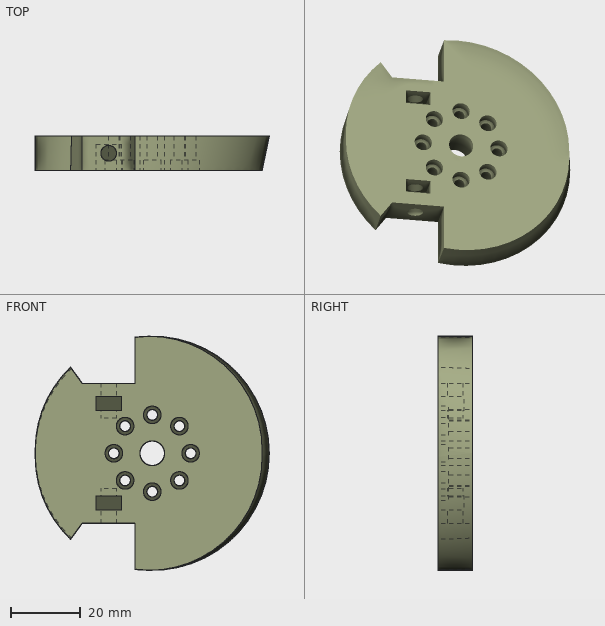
import cadquery as cq

disc_radius = 33.5
thickness = 10.0
side_taper = 2.1
front_y = -thickness / 2
back_y = thickness / 2

notch_wall_x = -4.95
notch_floor_z = 20.0
notch_flare_start_x = -20.0
flare_run = 3.35
flare_rise = 4.6
notch_reach = 3.0

center_hole_diameter = 7.0
screw_count = 8
screw_circle_radius = 11.0
screw_diameter = 3.0
screw_head_diameter = 5.0
screw_head_depth = 3.0

pocket_center_x = -12.45
pocket_center_z = 14.2
pocket_width = 7.25
pocket_height = 4.0
pocket_depth = 7.5
rod_diameter = 4.5
rod_end_z = 10.05

front_radius = disc_radius - side_taper / 2
front_shift = side_taper / 2


def front_plane(y):
    """Plane facing -Y at the given depth: local x is X, local y is Z."""
    return cq.Workplane("XZ", origin=(0, y, 0))


def half_disc(y, center_x, base_z, radius):
    """Wire of a half disc whose straight side lies at base_z."""
    return (
        front_plane(y)
        .moveTo(center_x - radius, base_z)
        .threePointArc((center_x, base_z + radius), (center_x + radius, base_z))
        .close()
        .val()
    )


def tapered_disc():
    """Two mirrored oblique half cones with a thin wedge between them."""
    back = half_disc(back_y, 0, 0, disc_radius)
    front = half_disc(front_y, -front_shift, front_shift, front_radius)
    upper = cq.Workplane(obj=cq.Solid.makeLoft([back, front], True))
    lower = upper.mirror("XY")

    mid_outline = (
        cq.Workplane("XY")
        .polyline([
            (-disc_radius, back_y),
            (disc_radius, back_y),
            (disc_radius - side_taper, front_y),
            (-disc_radius, front_y),
        ])
        .close()
        .extrude(front_shift, both=True)
    )
    wedge = (
        cq.Workplane("YZ")
        .polyline([(back_y, 0), (front_y, front_shift), (front_y, -front_shift)])
        .close()
        .extrude(disc_radius, both=True)
        .intersect(mid_outline)
    )
    return upper.union(wedge).union(lower)


def upper_notch():
    """Flat-floored notch with one upright wall and one flared wall."""
    top_z = notch_floor_z + notch_reach * flare_rise
    return (
        front_plane(back_y)
        .polyline([
            (notch_wall_x, notch_floor_z),
            (notch_wall_x, top_z),
            (notch_flare_start_x - notch_reach * flare_run, top_z),
            (notch_flare_start_x, notch_floor_z),
        ])
        .close()
        .extrude(thickness)
    )


def upper_pocket():
    """Rectangular pocket sunk from the front face."""
    return (
        front_plane(front_y)
        .center(pocket_center_x, pocket_center_z)
        .rect(pocket_width, pocket_height)
        .extrude(-pocket_depth)
    )


def upper_rod_hole():
    """Round hole from the notch floor through the pocket."""
    return (
        cq.Workplane("XY", origin=(pocket_center_x, 0, rod_end_z))
        .circle(rod_diameter / 2)
        .extrude(notch_floor_z - rod_end_z)
    )


def screw_holes():
    """Ring of counterbored through holes, heads on the front face."""
    ring = front_plane(front_y).polarArray(screw_circle_radius, 0, 360, screw_count)
    shanks = ring.circle(screw_diameter / 2).extrude(-thickness)
    ring = front_plane(front_y).polarArray(screw_circle_radius, 0, 360, screw_count)
    heads = ring.circle(screw_head_diameter / 2).extrude(-screw_head_depth)
    return shanks.union(heads)


def center_hole():
    return front_plane(front_y).circle(center_hole_diameter / 2).extrude(-thickness)


result = tapered_disc()
for cutter in (upper_notch(), upper_pocket(), upper_rod_hole()):
    result = result.cut(cutter).cut(cutter.mirror("XY"))
result = result.cut(screw_holes()).cut(center_hole())